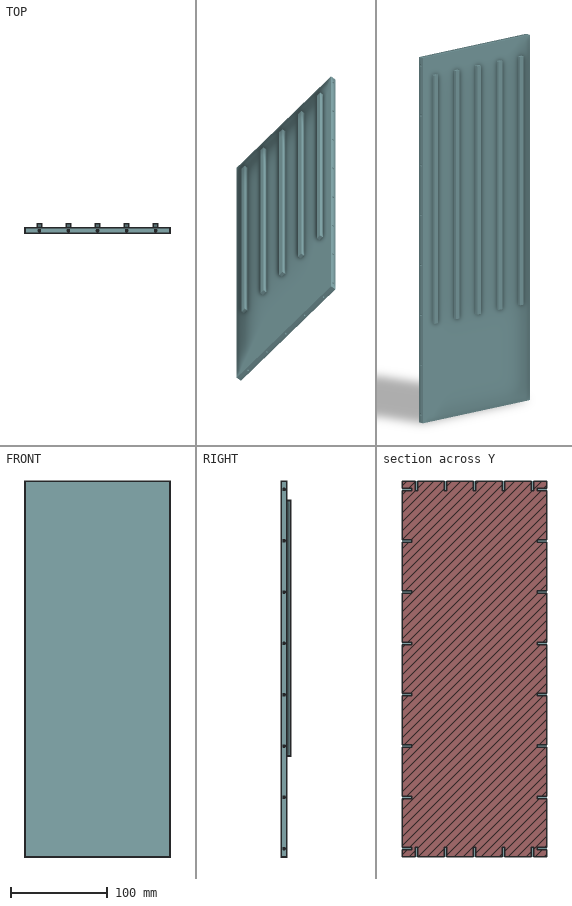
import cadquery as cq

panel_width = 149.9
panel_height = 388.37
total_depth = 10.0
rib_depth = 4.1
panel_thickness = total_depth - rib_depth

column_count = 5
column_pitch = panel_width / column_count
rib_width = 5.0
rib_length = 264.0
rib_top_margin = 20.0

hole_diameter = 2.08
hole_depth = 10.0
hole_y = panel_thickness / 2
side_hole_count = 8
side_hole_pitch = 53.0
side_hole_margin = (panel_height - (side_hole_count - 1) * side_hole_pitch) / 2

column_positions = [(i - (column_count - 1) / 2) * column_pitch for i in range(column_count)]
side_hole_heights = [side_hole_margin + i * side_hole_pitch for i in range(side_hole_count)]


def make_panel():
    return cq.Workplane("XY").box(
        panel_width, panel_thickness, panel_height, centered=(True, False, False)
    )


def make_rib(x):
    rib_bottom = panel_height - rib_top_margin - rib_length
    rib = cq.Workplane("XY").box(rib_width, rib_depth, rib_length, centered=(True, False, False))
    return rib.translate((x, panel_thickness, rib_bottom))


def make_hole(entry, direction):
    """Flat-bottomed hole running inward from a point on an edge face."""
    return cq.Solid.makeCylinder(
        hole_diameter / 2, hole_depth, cq.Vector(*entry), cq.Vector(*direction)
    )


result = make_panel()

for x in column_positions:
    result = result.union(make_rib(x))

for x in column_positions:
    result = result.cut(make_hole((x, hole_y, panel_height), (0, 0, -1)))
    result = result.cut(make_hole((x, hole_y, 0), (0, 0, 1)))

for z in side_hole_heights:
    result = result.cut(make_hole((-panel_width / 2, hole_y, z), (1, 0, 0)))
    result = result.cut(make_hole((panel_width / 2, hole_y, z), (-1, 0, 0)))